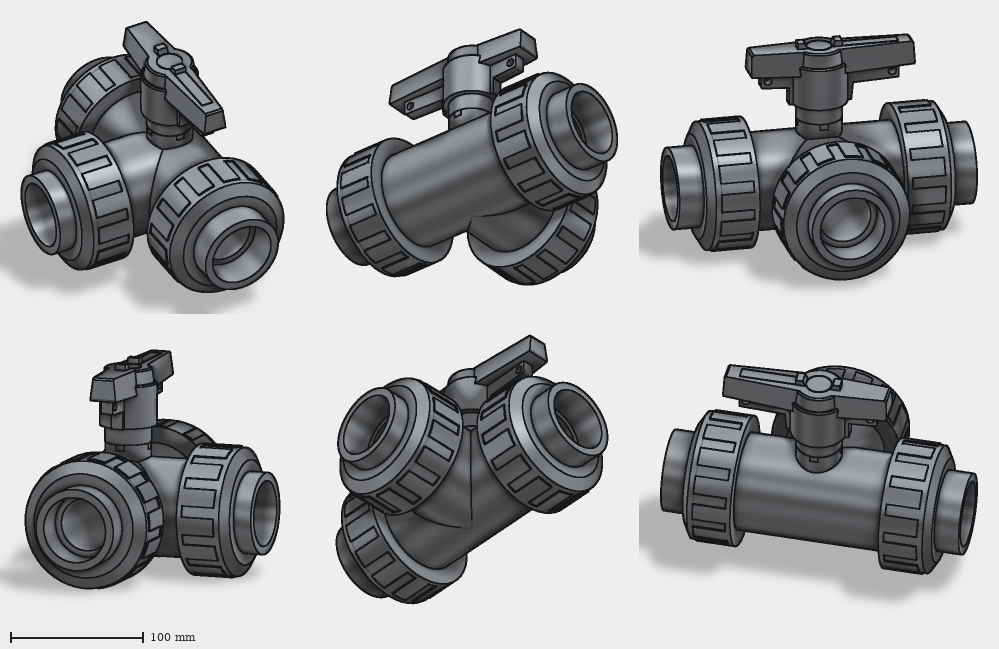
import cadquery as cq


overall_depth = 160.5
overall_height = 160.3
run_reach = 115.5
body_radius = 37.5
spigot_radius = 31.2
bore_radius = 20.0
socket_radius = 25.0
socket_depth = 25.0

nut_radius = 100.0 / 2
branch_reach = overall_depth - nut_radius
nut_core_radius = 49.0
nut_face_radius = 40.0
nut_start = 57.5
collar_end = 61.5
rib_end = 86.9
bevel_start = 91.2
nut_end = 96.5
rib_count = 14
rib_pitch = 360 / rib_count
cut_margin = 2.3
rib_gap = 9.8
joint_overlap = 11.5
spigot_start = nut_end - joint_overlap

stem_radius = 35.3 / 2
stem_step = 0.2
neck_radius = stem_radius - stem_step
stem_step_z = 48.5
key_width = 6.2
key_height = 4.6

hub_radius = 21.7
hub_bottom = 61.7
hub_top = 94.7
hub_chamfer = 1.2
cap_base_radius = 19.6
cap_rim_radius = 18.0
cap_top_radius = 16.6
cap_bevel_height = 1.2

handle_top = 105.8
handle_overlap = 2.3
arm_root_bottom = 86.6
arm_tip_bottom = 88.2
arm_root_half_bottom = 14.8
arm_root_half_top = 11.8
arm_tip_inset = 2.2
arm_tip_draft = 0.8
arm_chamfer = 1.5
tip_relief_height = 1.6
tip_relief_depth = 0.5
short_arm = 54.7
short_arm_half_width = 10.5
long_arm = 72.5
long_arm_half_width = 9.2

web_thickness = 9.2
web_left = -45.7
web_right = 61.0
web_tip_z = 76.7
web_inner_z = 75.3
web_foot_left = -24.0
web_foot_right = 24.0
web_foot_flare = 1.5
web_fillet = 1.5
lock_hole_radius = 3.0
lock_hole_z = 82.2
lock_hole_inset = 5.0

total_top = overall_height - nut_radius
marking_height = 0.5
disc_radius = 9.7
stripe_end = 60.5
stop_outer = 17.0
stop_crest = 11.5
short_stop_width = 8.0
long_stop_width = 9.0


def cylinder_z(radius, bottom, top):
    return cq.Workplane("XY").workplane(offset=bottom).circle(radius).extrude(top - bottom)


def cylinder_x(radius, start, end):
    return cq.Workplane("YZ").workplane(offset=start).circle(radius).extrude(end - start)


def box_between(x0, x1, width, z0, z1):
    """Box centred on the XZ plane."""
    size = (x1 - x0, width, z1 - z0)
    return cq.Workplane("XY").box(*size).translate(((x0 + x1) / 2, 0, (z0 + z1) / 2))


def make_nut():
    """Union nut around the +X axis; grooves leave raised grip ribs."""
    nut = (
        cq.Workplane("XZ")
        .polyline([
            (nut_start, 0),
            (nut_start, nut_radius),
            (rib_end, nut_radius),
            (rib_end, nut_core_radius),
            (bevel_start, nut_core_radius),
            (nut_end, nut_face_radius),
            (nut_end, 0),
        ])
        .close()
        .revolve(360, (0, 0), (1, 0))
    )
    groove = (
        cq.Workplane("XZ")
        .moveTo(collar_end, nut_core_radius)
        .lineTo(rib_end, nut_core_radius)
        .lineTo(rib_end, nut_radius + cut_margin)
        .lineTo(collar_end, nut_radius + cut_margin)
        .close()
        .revolve(rib_gap, (0, 0), (1, 0))
    )
    for i in range(rib_count):
        nut = nut.cut(groove.rotate((0, 0, 0), (1, 0, 0), i * rib_pitch))
    return nut


def make_arm(length, tip_half_width):
    """Tapered, drafted handle arm running from the stem axis along +X."""
    def section(x_bottom, x_top, half_bottom, half_top, z_bottom):
        return cq.Wire.makePolygon([
            cq.Vector(x_bottom, -half_bottom, z_bottom),
            cq.Vector(x_bottom, half_bottom, z_bottom),
            cq.Vector(x_top, half_top, handle_top),
            cq.Vector(x_top, -half_top, handle_top),
        ], close=True)

    root = section(0, 0, arm_root_half_bottom, arm_root_half_top, arm_root_bottom)
    tip_half_top = tip_half_width - arm_tip_inset
    tip = section(length, length - arm_tip_draft, tip_half_width, tip_half_top, arm_tip_bottom)
    arm = cq.Workplane(cq.Solid.makeLoft([root, tip], True))
    arm = arm.faces(">X").edges(">Z").chamfer(arm_chamfer)
    return arm.faces(">X").edges("<Z").chamfer(tip_relief_height, tip_relief_depth)


def make_web():
    """Thin plate under the arms with a padlock hole near each end."""
    web_top = arm_tip_bottom + handle_overlap
    web = (
        cq.Workplane("XZ")
        .polyline([
            (web_left, web_top),
            (web_left, web_tip_z),
            (web_foot_left, web_inner_z),
            (web_foot_left, hub_bottom),
            (web_foot_right, hub_bottom),
            (web_foot_right + web_foot_flare, web_inner_z),
            (web_right, web_tip_z),
            (web_right, web_top),
        ])
        .close()
        .extrude(web_thickness / 2, both=True)
    )
    for corner_x in (web_left, web_right):
        corner = cq.selectors.NearestToPointSelector((corner_x, 0, web_tip_z))
        web = web.edges(corner).fillet(web_fillet)
    for hole_x in (web_left + lock_hole_inset, web_right - lock_hole_inset):
        hole = cq.Workplane("XZ").center(hole_x, lock_hole_z).circle(lock_hole_radius)
        web = web.cut(hole.extrude(web_thickness, both=True))
    return web


def make_stop(width):
    """Raised stop block on the +X side, sloped toward the stem axis."""
    return (
        cq.Workplane("XZ")
        .polyline([
            (disc_radius, handle_top),
            (stop_outer, handle_top),
            (stop_outer, total_top),
            (stop_crest, total_top),
        ])
        .close()
        .extrude(width / 2, both=True)
    )


def turned(shape, angle):
    return shape.rotate((0, 0, 0), (0, 0, 1), angle)


def make_handle():
    hub = cylinder_z(hub_radius, hub_bottom, hub_top).faces(">Z").chamfer(hub_chamfer)
    cap = (
        cq.Workplane("XZ")
        .polyline([
            (0, hub_top),
            (cap_base_radius, hub_top),
            (cap_rim_radius, handle_top - cap_bevel_height),
            (cap_top_radius, handle_top),
            (0, handle_top),
        ])
        .close()
        .revolve(360, (0, 0), (0, 1))
    )
    marking_top = handle_top + marking_height
    handle = hub.union(cap).union(make_web())
    handle = handle.union(make_arm(long_arm, long_arm_half_width))
    handle = handle.union(turned(make_arm(short_arm, short_arm_half_width), 180))
    handle = handle.union(cylinder_z(disc_radius, hub_top, marking_top))
    stripe_root = handle_top - handle_overlap
    handle = handle.union(box_between(stop_outer, stripe_end, long_stop_width, stripe_root, marking_top))
    handle = handle.union(make_stop(long_stop_width))
    return handle.union(turned(make_stop(short_stop_width), 180))


def make_stem():
    """Stem with four flat keys just below its step."""
    stem = cylinder_z(neck_radius, 0, stem_step_z).union(cylinder_z(stem_radius, stem_step_z, hub_bottom))
    key = box_between(0, neck_radius, key_width, stem_step_z - key_height, stem_step_z)
    for i in range(4):
        stem = stem.union(turned(key, 90 * i))
    return stem


ports = [(0, run_reach), (180, run_reach), (-90, branch_reach)]
nut = make_nut()
body = cylinder_x(body_radius, -nut_start - joint_overlap, nut_start + joint_overlap)
body = body.union(turned(cylinder_x(body_radius, 0, nut_start + joint_overlap), -90))
for angle, reach in ports:
    port = nut.union(cylinder_x(spigot_radius, spigot_start, reach))
    body = body.union(turned(port, angle))
valve = body.union(make_stem()).union(make_handle())

valve = valve.cut(cylinder_x(bore_radius, -run_reach, run_reach))
valve = valve.cut(turned(cylinder_x(bore_radius, 0, branch_reach), -90))
for angle, reach in ports:
    valve = valve.cut(turned(cylinder_x(socket_radius, reach - socket_depth, reach), angle))

result = valve